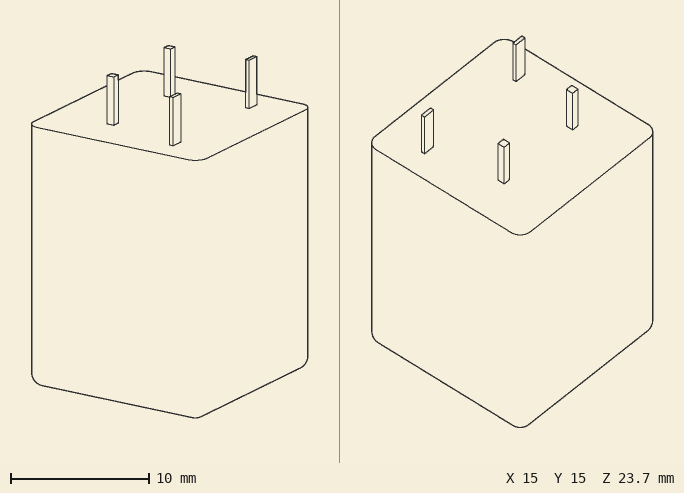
import cadquery as cq

total_height = 23.7
body_width = 15.0
pin_length = 3.7
body_height = total_height - pin_length
edge_radius = 1.0

square_pin_side = 0.6
square_pin_x = -2.5
square_pin_y = 3.75

blade_thickness = 0.3
blade_width = 1.0
blade_x = 3.77
blade_y = 5.0


def make_body():
    """Square case with rounded upright and bottom edges, base at Z = 0."""
    block = cq.Workplane("XY").box(body_width, body_width, body_height, centered=(True, True, False))
    return block.edges("|Z").fillet(edge_radius).faces("<Z").edges().fillet(edge_radius)


def make_pin_pair(x, y, size_x, size_y):
    """Two rectangular pins at (x, +y) and (x, -y), standing on the top face."""
    return (
        cq.Workplane("XY", origin=(0, 0, body_height))
        .pushPoints([(x, -y), (x, y)])
        .rect(size_x, size_y)
        .extrude(pin_length)
    )


square_pins = make_pin_pair(square_pin_x, square_pin_y, square_pin_side, square_pin_side)
blade_pins = make_pin_pair(blade_x, blade_y, blade_thickness, blade_width)

result = make_body().union(square_pins).union(blade_pins)